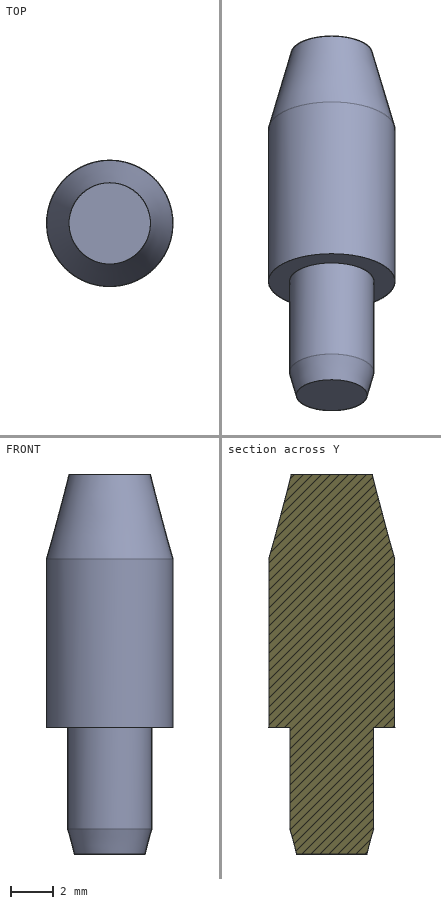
import cadquery as cq
import math

head_diameter = 6.0
head_length = 12.0
nose_length = 4.0
shank_diameter = 4.0
shank_length = 6.0
lead_in_length = 1.2
taper_angle = 15.0

head_radius = head_diameter / 2
shank_radius = shank_diameter / 2
taper_slope = math.tan(math.radians(taper_angle))
nose_tip_radius = head_radius - nose_length * taper_slope
shank_tip_radius = shank_radius - lead_in_length * taper_slope


def make_pin():
    """Revolve the half profile about Z, with the shoulder at Z = 0."""
    half_profile = [
        (0, -shank_length),
        (shank_tip_radius, -shank_length),
        (shank_radius, -shank_length + lead_in_length),
        (shank_radius, 0),
        (head_radius, 0),
        (head_radius, head_length - nose_length),
        (nose_tip_radius, head_length),
        (0, head_length),
    ]
    return (
        cq.Workplane("YZ")
        .polyline(half_profile)
        .close()
        .revolve(360, (0, 0), (0, 1))
    )


result = make_pin()